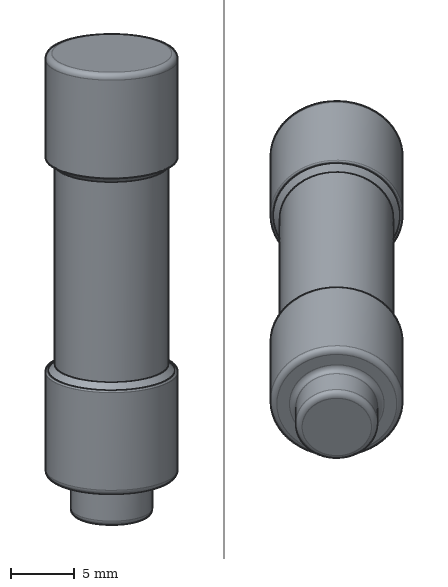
import cadquery as cq

total_length = 38.1
cap_radius = 10.4 / 2
shaft_radius = 8.95 / 2
pin_radius = 6.45 / 2

pin_length = 3.2
cap_length = 8.7

edge_round = 0.5
collar_size = 0.5
inner_rim_round = 0.1

lower_cap_top = pin_length + cap_length
upper_cap_bottom = total_length - cap_length


def cylinder(radius, bottom, top):
    """Round bar along Z between two heights."""
    return cq.Workplane("XY").workplane(offset=bottom).circle(radius).extrude(top - bottom)


def collar(cap_face, direction):
    """45 degree cone joining a cap face to the shaft; direction is +1 for up, -1 for down."""
    profile = [
        (0, cap_face),
        (shaft_radius + collar_size, cap_face),
        (shaft_radius, cap_face + direction * collar_size),
        (0, cap_face + direction * collar_size),
    ]
    return cq.Workplane("XZ").polyline(profile).close().revolve(360, (0, 0), (0, 1))


def pin_root():
    """Concave round where the pin meets the lower cap."""
    flare_radius = pin_radius + edge_round
    return (
        cq.Workplane("XZ")
        .moveTo(0, pin_length - edge_round)
        .lineTo(pin_radius, pin_length - edge_round)
        .radiusArc((flare_radius, pin_length), edge_round)
        .lineTo(0, pin_length)
        .close()
        .revolve(360, (0, 0), (0, 1))
    )


upper_cap = (
    cylinder(cap_radius, upper_cap_bottom, total_length)
    .faces(">Z").edges().fillet(edge_round)
    .faces("<Z").edges().fillet(inner_rim_round)
)
lower_cap = (
    cylinder(cap_radius, pin_length, lower_cap_top)
    .faces("<Z").edges().fillet(edge_round)
    .faces(">Z").edges().fillet(inner_rim_round)
)

pin = cylinder(pin_radius, 0, pin_length).faces("<Z").edges().fillet(edge_round)
shaft = cylinder(shaft_radius, lower_cap_top, upper_cap_bottom)

result = (
    shaft.union(upper_cap)
    .union(lower_cap)
    .union(pin)
    .union(collar(lower_cap_top, 1))
    .union(collar(upper_cap_bottom, -1))
    .union(pin_root())
)